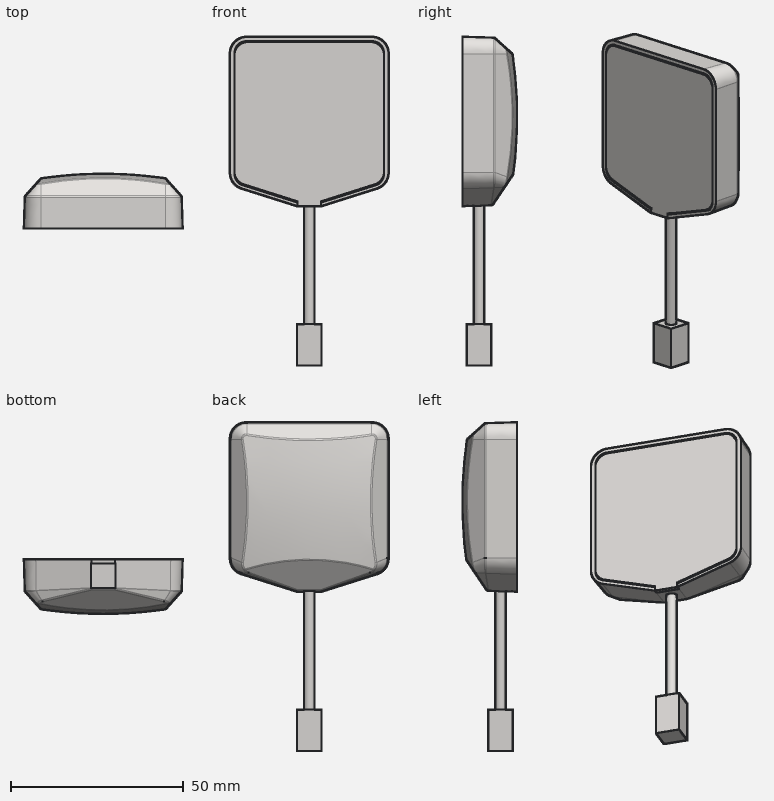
import cadquery as cq
import math

width = 46.06
total_height = 95.21
depth = 15.97

half_width = width / 2
lower_tip_z = -26.1
tip_half_width = 3.5
lower_slope = 0.317
corner_radius = 5.0
draft_angle = 1.8

bevel_start = 9.3
bevel_inset_rate = 0.9
lower_inset_rate = 0.2
lower_bevel_slope = 0.309
lower_corner_rate = 0.4
smallest_radius = 0.15
bevel_base = 7.5
bevel_end = depth + 1.0

ramp_start = 8.55
ramp_rate = 1.49

dome_radius = 120.0
edge_fillet = 0.8
shoulder_margin = 1.0

lid_thickness = 1.5
rim_width = 1.4
top_rim_extra = 0.2
lid_end_gap = 0.28
tab_half_width = 3.4

cable_diameter = 3.1
cable_y = 4.85
cable_insertion = 2.0
connector_width = 7.15
connector_length = 12.0

wall_lean = bevel_start * math.tan(math.radians(draft_angle))
bevel_corner_radius = corner_radius - wall_lean
lower_corner_z = lower_tip_z + lower_slope * (half_width - tip_half_width)
connector_bottom_z = half_width - total_height
connector_top_z = connector_bottom_z + connector_length


def plane_at(y):
    """Workplane parallel to XZ at the given Y, with local axes along +X and +Z."""
    return cq.Workplane("XZ", origin=(0, y, 0))


def rounded_outline(half, top_z, tip_half, tip_z, radius, length, taper=0.0):
    """Six-sided outline with four rounded corners, extruded along +Y from Y = 0."""
    corner_z = tip_z + lower_slope * (half - tip_half)
    sketch = (
        cq.Sketch()
        .polygon([
            (-half, top_z), (half, top_z), (half, corner_z), (tip_half, tip_z),
            (-tip_half, tip_z), (-half, corner_z), (-half, top_z),
        ])
        .vertices("<X or >X")
        .fillet(radius)
    )
    return plane_at(0).placeSketch(sketch).extrude(-length, taper=taper)


def bevel_half(y):
    """Distance of the side and top bevels from the dome axis."""
    return half_width - wall_lean - bevel_inset_rate * (y - bevel_start)


def bevel_lower_corner(y):
    """Z where a lower bevel meets a side bevel."""
    side_inset = bevel_inset_rate * (y - bevel_start)
    wall_corner_z = lower_corner_z + wall_lean * (math.hypot(1, lower_slope) - lower_bevel_slope)
    return wall_corner_z - lower_bevel_slope * side_inset + lower_inset_rate * (y - bevel_start)


def bevel_outline(y):
    half = bevel_half(y)
    corner_z = bevel_lower_corner(y)
    ridge_z = corner_z - lower_bevel_slope * half
    points = [(-half, half), (half, half), (half, corner_z), (0, ridge_z), (-half, corner_z)]
    return plane_at(y).polyline(points).close().wire().val()


def corner_section(y, corner_x, corner_z, radius, slope):
    """Area outside the rounding of one bevel corner.

    One edge leaves the corner along Z toward Z = 0, the other toward X = 0,
    dropping by slope per mm of X.
    """
    edge_angle = math.atan(slope)
    along_side = (0.0, -math.copysign(1, corner_z))
    along_end = (-math.copysign(math.cos(edge_angle), corner_x), -math.sin(edge_angle))
    half_angle = math.acos(along_side[1] * along_end[1]) / 2
    tangent_length = radius / math.tan(half_angle)
    center_distance = radius / math.sin(half_angle)
    bisector_length = 2 * math.cos(half_angle)
    inward = [(a + b) / bisector_length for a, b in zip(along_side, along_end)]

    def from_corner(direction, distance):
        return (corner_x + direction[0] * distance, corner_z + direction[1] * distance)

    return (
        plane_at(y)
        .moveTo(*from_corner(along_side, tangent_length))
        .threePointArc(
            from_corner(inward, center_distance - radius),
            from_corner(along_end, tangent_length),
        )
        .lineTo(*from_corner(inward, -center_distance))
        .close()
        .wire()
        .val()
    )


def upper_corner_cutter(side):
    """Outside of a cone tangent to the top and side bevels."""
    cone_end = bevel_start + (bevel_corner_radius - smallest_radius) / bevel_inset_rate
    sections = []
    for y in (bevel_base, cone_end):
        radius = bevel_corner_radius - bevel_inset_rate * (y - bevel_start)
        sections.append(corner_section(y, side * bevel_half(y), bevel_half(y), radius, 0))
    return cq.Workplane(cq.Solid.makeLoft(sections, True))


def lower_corner_cutter(side):
    """Outside of a slanted cone tangent to the side and lower bevels."""
    sections = []
    for y in (bevel_base, bevel_end):
        radius = bevel_corner_radius - lower_corner_rate * (y - bevel_start)
        corner_x = side * bevel_half(y)
        sections.append(corner_section(y, corner_x, bevel_lower_corner(y), radius, lower_bevel_slope))
    return cq.Workplane(cq.Solid.makeLoft(sections, True))


def make_bevels():
    """Bevelled cap on a plain block that is wider than the walls."""
    cap = cq.Workplane(cq.Solid.makeLoft([bevel_outline(bevel_base), bevel_outline(bevel_end)], True))
    for side in (-1, 1):
        cap = cap.cut(upper_corner_cutter(side)).cut(lower_corner_cutter(side))
    block = cq.Workplane("XY").box(2 * width, bevel_base, 2 * width, centered=(True, False, True))
    return cap.union(block)


def make_ramp_cutter():
    """Space below the ramp, across the full width."""
    ramp_top_z = lower_tip_z + ramp_rate * (bevel_end - ramp_start)
    low_z = lower_tip_z - half_width
    low_y = ramp_start - half_width / ramp_rate
    return (
        cq.Workplane("YZ")
        .polyline([(low_y, low_z), (bevel_end, ramp_top_z), (bevel_end, low_z)])
        .close()
        .extrude(width, both=True)
    )


def make_envelope():
    walls = rounded_outline(
        half_width, half_width, tip_half_width, lower_tip_z, corner_radius, bevel_end, draft_angle
    )
    dome = cq.Workplane("XY", origin=(0, depth - dome_radius, 0)).sphere(dome_radius)
    sharp = walls.intersect(make_bevels()).cut(make_ramp_cutter()).intersect(dome)

    shoulder = cq.selectors.BoxSelector(
        (-width, bevel_start - shoulder_margin, -width),
        (width, bevel_start + shoulder_margin, width),
        boundingbox=True,
    )
    ramp_edges = sharp.faces("%PLANE").faces(">Y").edges()
    dome_edges = sharp.faces("%SPHERE").edges()
    return sharp.edges(shoulder).add(ramp_edges).add(dome_edges).fillet(edge_fillet)


def lid_plate(end_inset):
    """Plate set in by rim_width at the sides and by end_inset along Z at the lower edges.

    The top edge is set in by top_rim_extra more, and a tab runs down past the
    lower end of the housing.
    """
    plate = rounded_outline(
        half_width - rim_width, half_width - end_inset - top_rim_extra, tab_half_width,
        lower_tip_z + end_inset, corner_radius - rim_width, lid_thickness,
    )
    tab = (
        cq.Workplane("XY", origin=(0, 0, lower_tip_z))
        .box(2 * tab_half_width, lid_thickness, 2 * end_inset, centered=(True, False, True))
    )
    return plate.union(tab)


def make_cable():
    cable_top_z = lower_tip_z + cable_insertion
    return (
        cq.Workplane("XY", origin=(0, cable_y, connector_top_z))
        .circle(cable_diameter / 2)
        .extrude(cable_top_z - connector_top_z)
    )


def make_cable_with_connector():
    connector = (
        cq.Workplane("XY", origin=(0, cable_y, connector_bottom_z))
        .rect(connector_width, connector_width)
        .extrude(connector_length)
    )
    return connector.union(make_cable())


envelope = make_envelope()
housing = envelope.cut(lid_plate(rim_width - lid_end_gap)).cut(make_cable())
lid = envelope.intersect(lid_plate(rim_width))
cable_assembly = make_cable_with_connector()

bodies = [*housing.solids().vals(), *lid.solids().vals(), *cable_assembly.solids().vals()]
result = cq.Compound.makeCompound(bodies)